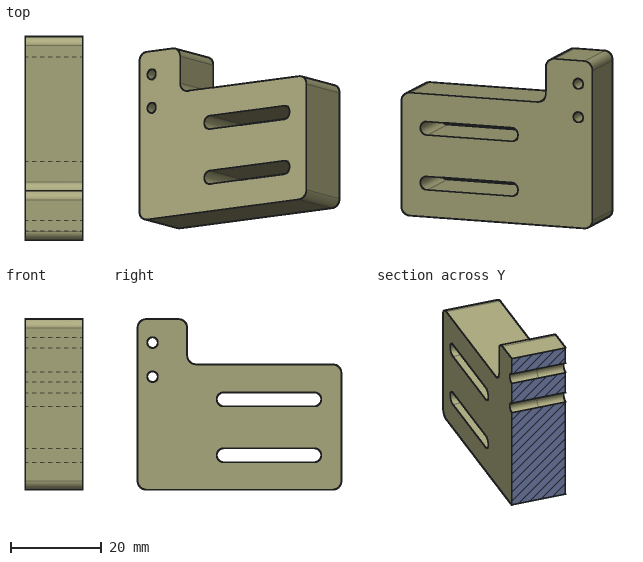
import cadquery as cq

thickness = 12.8
length = 45.0
height = 37.65

tab_length = 11.0
tab_rise = 10.0
corner_radius = 2.0

hole_diameter = 2.3
hole_from_front = 3.35
upper_hole_from_top = 5.2
hole_spacing = 7.5

slot_length = 23.0
slot_width = 3.0
slot_from_back = 4.5
lower_slot_height = 7.6
slot_spacing = 12.35

front = -length / 2
back = length / 2
bottom = -height / 2
top = height / 2
shoulder = top - tab_rise
tab_back = front + tab_length


def plate():
    """L-shaped plate with all profile corners rounded."""
    outline = [
        (front, bottom),
        (back, bottom),
        (back, shoulder),
        (tab_back, shoulder),
        (tab_back, top),
        (front, top),
    ]
    body = cq.Workplane("YZ").polyline(outline).close().extrude(thickness / 2, both=True)
    return body.edges("|X").fillet(corner_radius)


def pin_holes():
    """Cutters for the two holes through the tab."""
    hole_y = front + hole_from_front
    upper_z = top - upper_hole_from_top
    centers = [(hole_y, upper_z), (hole_y, upper_z - hole_spacing)]
    return (
        cq.Workplane("YZ").pushPoints(centers)
        .circle(hole_diameter / 2).extrude(thickness, both=True)
    )


def slots():
    """Cutters for the two round-ended slots through the plate."""
    slot_y = back - slot_from_back - slot_length / 2
    lower_z = bottom + lower_slot_height
    centers = [(slot_y, lower_z), (slot_y, lower_z + slot_spacing)]
    return (
        cq.Workplane("YZ").pushPoints(centers)
        .slot2D(slot_length, slot_width).extrude(thickness, both=True)
    )


result = plate().cut(pin_holes()).cut(slots())